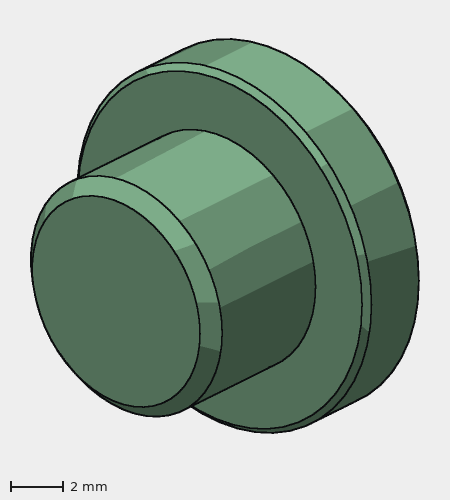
import cadquery as cq

head_diameter = 15.0
total_length = 9.5
pin_length = 6.0
pin_diameter = 9.75
head_thickness = total_length - pin_length

head_back_chamfer = 0.5
head_front_chamfer = 0.25
pin_tip_chamfer = 0.6

head = (
    cq.Workplane("XZ")
    .circle(head_diameter / 2)
    .extrude(-head_thickness)
    .faces(">Y")
    .chamfer(head_back_chamfer)
    .faces("<Y")
    .chamfer(head_front_chamfer)
)

pin = (
    cq.Workplane("XZ")
    .circle(pin_diameter / 2)
    .extrude(pin_length)
    .faces("<Y")
    .chamfer(pin_tip_chamfer)
)

result = head.union(pin)